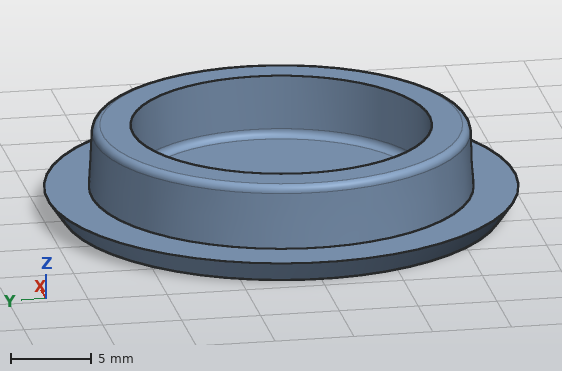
import cadquery as cq

flange_diameter = 29.6
flange_bottom_diameter = 27.6
flange_thickness = 1.45

total_height = 5.5
ring_base_diameter = 24.0
ring_top_diameter = 23.6
ring_edge_radius = 0.5

pocket_diameter = 18.8
pocket_depth = 4.0
pocket_corner_radius = 0.5


def make_frustum(bottom_diameter, top_diameter, base_z, height):
    return (
        cq.Workplane("XY")
        .workplane(offset=base_z)
        .circle(bottom_diameter / 2)
        .workplane(offset=height)
        .circle(top_diameter / 2)
        .loft(ruled=True)
    )


def make_pocket():
    return (
        cq.Workplane("XY")
        .workplane(offset=total_height - pocket_depth)
        .circle(pocket_diameter / 2)
        .extrude(pocket_depth)
        .faces("<Z")
        .edges()
        .fillet(pocket_corner_radius)
    )


flange = make_frustum(flange_bottom_diameter, flange_diameter, 0, flange_thickness)
ring = make_frustum(
    ring_base_diameter, ring_top_diameter, flange_thickness, total_height - flange_thickness
)
ring = ring.faces(">Z").edges().fillet(ring_edge_radius)

result = flange.union(ring).cut(make_pocket())